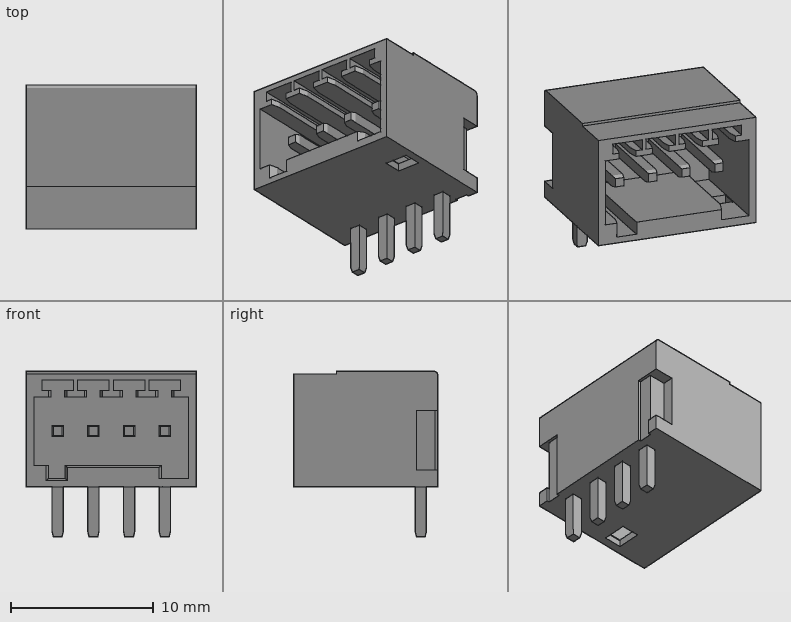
import cadquery as cq


width = 11.9
depth = 10.1
height = 8.1
front_step_depth = 3.0
front_step_drop = 0.19
rear_top_radius = 0.3

pin_count = 4
pitch = 2.5
pin_size = 0.8
pin_tip_size = 0.62
pin_taper_length = 0.38
pin_height = 3.92
pin_tip_y = 1.49
tail_length = 3.5
tail_inset = 1.2

cavity_depth = 7.5
side_wall = 0.54
cavity_top = 6.31
sill_top = 1.5
low_floor = 0.6
key_slot_left = -4.39
key_slot_right = -3.22
sill_right = 3.51

lead_in_length = 0.65
lead_in_side = 0.17
lead_in_drop = 0.14

t_head_width = 2.21
t_head_bottom = 6.74
t_head_top = 7.49
t_neck_width = 0.95
t_neck_mouth_width = 1.27
t_neck_flare_length = 0.7

floor_hole_front = 2.9
floor_hole_length = 1.39
floor_hole_margin = 0.06

recess_width = 0.8
recess_length = 1.5
recess_bottom = 1.19
recess_top = 5.34
rear_notch_width = 1.0
rear_notch_depth = 0.19

half_width = width / 2
cavity_half_width = half_width - side_wall
tail_y = depth - tail_inset
pin_positions = [(i - (pin_count - 1) / 2) * pitch for i in range(pin_count)]


def block(x_range, y_range, z_range):
    """Axis-aligned box given by its limits along X, Y and Z."""
    limits = (x_range, y_range, z_range)
    size = [high - low for low, high in limits]
    corner = [low for low, high in limits]
    return cq.Workplane("XY").box(*size, centered=False).translate(tuple(corner))


def front_outline(points, y):
    """Closed XZ outline lying in the plane at the given Y."""
    return cq.Workplane("XZ", origin=(0, y, 0)).polyline(points).close()


def flare(front_points, back_points, length):
    """Solid that blends one outline at the mating face into another deeper in."""
    front_wire = front_outline(front_points, 0).val()
    back_wire = front_outline(back_points, length).val()
    return cq.Workplane(obj=cq.Solid.makeLoft([front_wire, back_wire], True))


def rectangle(left, right, bottom, top):
    return [(left, bottom), (right, bottom), (right, top), (left, top)]


def make_shell():
    """Outer block with a lowered front roof and a rounded rear top edge."""
    shell = block((-half_width, half_width), (0, depth), (0, height))
    shell = shell.edges("|X and >Y and >Z").fillet(rear_top_radius)
    front_step = block((-half_width, half_width), (0, front_step_depth), (height - front_step_drop, height))
    return shell.cut(front_step)


def make_cavity():
    """Mating cavity with a key slot left of the raised sill and a low floor right of it."""
    outline = [
        (-cavity_half_width, sill_top),
        (key_slot_left, sill_top),
        (key_slot_left, low_floor),
        (key_slot_right, low_floor),
        (key_slot_right, sill_top),
        (sill_right, sill_top),
        (sill_right, low_floor),
        (cavity_half_width, low_floor),
        (cavity_half_width, cavity_top),
        (-cavity_half_width, cavity_top),
    ]
    return front_outline(outline, 0).extrude(-cavity_depth)


def make_key_slot_lead_in():
    """Flared mouth that widens and deepens the key slot at the mating face."""
    mouth = rectangle(
        key_slot_left - lead_in_side, key_slot_right + lead_in_side, low_floor - lead_in_drop, sill_top
    )
    throat = rectangle(key_slot_left, key_slot_right, low_floor, sill_top)
    return flare(mouth, throat, lead_in_length)


def make_sill_lead_in():
    """Wedges that slope the sill top and its right flank at the mating face."""
    sill_slope = (
        cq.Workplane("YZ", origin=(key_slot_right, 0, 0))
        .polyline([(0, sill_top), (0, sill_top - lead_in_drop), (lead_in_length, sill_top)])
        .close()
        .extrude(sill_right - key_slot_right)
    )
    flank_slope = (
        cq.Workplane("XY", origin=(0, 0, low_floor))
        .polyline([(sill_right, 0), (sill_right - lead_in_side, 0), (sill_right, lead_in_length)])
        .close()
        .extrude(sill_top - low_floor)
    )
    return sill_slope.union(flank_slope)


def make_t_slot(x):
    """T-shaped slot over one pin; its neck opens into the cavity and flares at the mouth."""
    head = block(
        (x - t_head_width / 2, x + t_head_width / 2), (0, cavity_depth), (t_head_bottom, t_head_top)
    )
    half_neck = t_neck_width / 2
    half_mouth = t_neck_mouth_width / 2
    neck = (
        cq.Workplane("XY", origin=(x, 0, cavity_top))
        .polyline([
            (-half_mouth, 0),
            (half_mouth, 0),
            (half_neck, t_neck_flare_length),
            (half_neck, cavity_depth),
            (-half_neck, cavity_depth),
            (-half_neck, t_neck_flare_length),
        ])
        .close()
        .extrude(t_head_bottom - cavity_top)
    )
    return head.union(neck)


def make_floor_hole():
    """Rectangular opening through the low floor."""
    return block(
        (sill_right + floor_hole_margin, cavity_half_width - floor_hole_margin),
        (floor_hole_front, floor_hole_front + floor_hole_length),
        (0, low_floor),
    )


def make_left_recess():
    """Rear recess in the left flank with the shallow rear-face notch beside it."""
    inner_x = recess_width - half_width
    recess = block((-half_width, inner_x), (depth - recess_length, depth), (recess_bottom, recess_top))
    notch = block((inner_x, inner_x + rear_notch_width), (depth - rear_notch_depth, depth), (0, recess_top))
    return recess.union(notch)


def make_pin(x):
    """Square right-angle pin with tapered ends: a contact leg along Y and a tail along -Z."""
    half_pin = pin_size / 2
    contact = (
        cq.Workplane("XZ", origin=(x, pin_tip_y + pin_taper_length, pin_height))
        .rect(pin_size, pin_size)
        .extrude(-(tail_y + half_pin - pin_tip_y - pin_taper_length))
    )
    contact_tip = (
        cq.Workplane("XZ", origin=(x, pin_tip_y + pin_taper_length, pin_height))
        .rect(pin_size, pin_size)
        .workplane(offset=pin_taper_length)
        .rect(pin_tip_size, pin_tip_size)
        .loft()
    )
    tail_taper_top = pin_taper_length - tail_length
    tail = (
        cq.Workplane("XY", origin=(x, tail_y, tail_taper_top))
        .rect(pin_size, pin_size)
        .extrude(pin_height + half_pin - tail_taper_top)
    )
    tail_tip = (
        cq.Workplane("XY", origin=(x, tail_y, tail_taper_top))
        .rect(pin_size, pin_size)
        .workplane(offset=-pin_taper_length)
        .rect(pin_tip_size, pin_tip_size)
        .loft()
    )
    return contact.union(tail).union(contact_tip).union(tail_tip)


def make_housing(pins):
    """Housing with all its openings and a close-fitting passage for every pin."""
    housing = make_shell().cut(make_cavity())
    housing = housing.cut(make_key_slot_lead_in()).cut(make_sill_lead_in())
    for x in pin_positions:
        housing = housing.cut(make_t_slot(x))
    housing = housing.cut(make_floor_hole())
    left_recess = make_left_recess()
    housing = housing.cut(left_recess).cut(left_recess.mirror("YZ"))
    for pin in pins:
        housing = housing.cut(pin)
    return housing


pins = [make_pin(x) for x in pin_positions]
housing = make_housing(pins)

result = cq.Compound.makeCompound([housing.val(), *[pin.val() for pin in pins]])